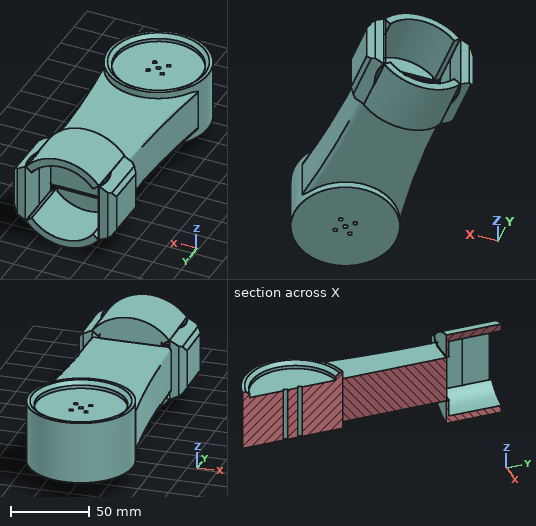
import math

import cadquery as cq

overall_length = 180.9

hub_diameter = 70.0
hub_height = 42.0
dish_rim_diameter = 65.3
dish_diameter = 60.0
dish_depth = 4.9
center_hole_diameter = 2.9
screw_hole_diameter = 2.5
screw_spacing = 10.0

cap_diameter = 66.7
cap_thickness = 5.5
cap_front = 105.8
sleeve_rear = 144.2
pad_front = 106.4
pad_width = 72.7
pad_face_height = 26.2
pad_chamfer = 4.3
pad_shoulder_x = 34.0
pad_shoulder_z = 16.6

cap_wall_thickness = 2.2
cap_wall_width = 41.2

arm_height = 32.4
arm_edge_radius = 2.5
arm_end_half_width = 27.0
arm_middle_y = 52.5
arm_middle_half_width = 29.0
arm_hub_y = 10.7

insert_radius = 27.7
insert_center_y = 135.3
left_insert_x = 25.9

hub_radius = hub_diameter / 2
half_height = hub_height / 2
cap_radius = cap_diameter / 2
cap_inner_radius = cap_radius - cap_thickness
cap_edge_angle = math.asin(half_height / cap_radius)
cap_edge_x = cap_radius * math.cos(cap_edge_angle)
arm_top = arm_height / 2
arm_hub_half_width = math.sqrt(hub_radius**2 - arm_hub_y**2)
insert_tip_y = overall_length - hub_radius
right_insert_x = math.sqrt(insert_radius**2 - (insert_tip_y - insert_center_y) ** 2)


def level_plane(height):
    """Horizontal workplane at the given height."""
    return cq.Workplane("XY").workplane(offset=height)


def make_hub():
    """Hub with a bevelled dish in its top and five through holes."""
    bevel = (dish_rim_diameter - dish_diameter) / 2
    hub = level_plane(-half_height).circle(hub_radius).extrude(hub_height)
    hub = hub.faces(">Z").workplane().hole(dish_diameter, dish_depth)
    hub = hub.faces(">Z").edges(cq.selectors.RadiusNthSelector(0)).chamfer(bevel)
    center_hole = level_plane(-half_height).circle(center_hole_diameter / 2).extrude(hub_height)
    screw_holes = (
        level_plane(-half_height)
        .rect(screw_spacing, screw_spacing, forConstruction=True)
        .vertices()
        .circle(screw_hole_diameter / 2)
        .extrude(hub_height)
    )
    return hub.cut(center_hole).cut(screw_holes)


def make_arm():
    """Arm that flares along an arc from the sleeve to the hub, cut to fit around the hub."""
    arm = (
        level_plane(-arm_top)
        .moveTo(-arm_end_half_width, pad_front)
        .lineTo(arm_end_half_width, pad_front)
        .threePointArc((arm_middle_half_width, arm_middle_y), (arm_hub_half_width, arm_hub_y))
        .lineTo(-arm_hub_half_width, arm_hub_y)
        .threePointArc((-arm_middle_half_width, arm_middle_y), (-arm_end_half_width, pad_front))
        .close()
        .extrude(arm_height)
    )
    arm = arm.faces("|Z").edges("not |X").fillet(arm_edge_radius)
    hub_space = level_plane(-half_height).circle(hub_radius).extrude(hub_height)
    return arm.cut(hub_space)


def section(y):
    """Workplane across the sleeve at y, with local axes X and Z; negative extrusions run toward +Y."""
    return cq.Workplane(cq.Plane(origin=(0, y, 0), xDir=(1, 0, 0), normal=(0, -1, 0)))


def make_cap(side):
    """Curved shell with radial side faces and a front wall; side is 1 above, -1 below."""
    inner_x = cap_inner_radius * math.cos(cap_edge_angle)
    inner_z = cap_inner_radius * math.sin(cap_edge_angle)
    shell = (
        section(cap_front)
        .moveTo(-cap_edge_x, side * half_height)
        .threePointArc((0, side * cap_radius), (cap_edge_x, side * half_height))
        .lineTo(inner_x, side * inner_z)
        .threePointArc((0, side * cap_inner_radius), (-inner_x, side * inner_z))
        .close()
        .extrude(cap_front - sleeve_rear)
    )
    wall_x = cap_wall_width / 2
    wall_radius = (cap_radius + cap_inner_radius) / 2
    wall_top = math.sqrt(wall_radius**2 - wall_x**2)
    wall = (
        section(cap_front)
        .moveTo(-wall_x, side * arm_top)
        .lineTo(wall_x, side * arm_top)
        .lineTo(wall_x, side * wall_top)
        .threePointArc((0, side * wall_radius), (-wall_x, side * wall_top))
        .close()
        .extrude(-cap_wall_thickness)
    )
    return shell.union(wall)


def make_insert(side):
    """Upright slice of a cylinder beyond a flat face; side is 1 on the right, -1 on the left."""
    face_x = right_insert_x if side > 0 else left_insert_x
    half_chord = math.sqrt(insert_radius**2 - face_x**2)
    return (
        level_plane(-half_height)
        .moveTo(side * face_x, insert_center_y - half_chord)
        .threePointArc((side * insert_radius, insert_center_y), (side * face_x, insert_center_y + half_chord))
        .close()
        .extrude(hub_height)
    )


def make_pad(side):
    """Side pad with sloping shoulders and chamfered ends; side is 1 on the right, -1 on the left."""
    outer_x = side * pad_width / 2
    inner_x = side * cap_edge_x
    face_z = pad_face_height / 2
    shoulder_x = side * pad_shoulder_x
    profile = (
        section(pad_front)
        .moveTo(inner_x, half_height)
        .lineTo(shoulder_x, pad_shoulder_z)
        .lineTo(outer_x, face_z)
        .lineTo(outer_x, -face_z)
        .lineTo(shoulder_x, -pad_shoulder_z)
        .lineTo(inner_x, -half_height)
        .close()
        .extrude(pad_front - sleeve_rear)
    )
    chamfered_x = outer_x - side * pad_chamfer
    plan = (
        level_plane(-half_height)
        .moveTo(inner_x, pad_front)
        .lineTo(chamfered_x, pad_front)
        .lineTo(outer_x, pad_front + pad_chamfer)
        .lineTo(outer_x, sleeve_rear - pad_chamfer)
        .lineTo(chamfered_x, sleeve_rear)
        .lineTo(inner_x, sleeve_rear)
        .close()
        .extrude(hub_height)
    )
    return profile.intersect(plan)


hub = make_hub()
arm = make_arm()
caps = [make_cap(side) for side in (1, -1)]

inserts = []
pads = []
for side in (-1, 1):
    insert = make_insert(side)
    for cap in caps:
        insert = insert.cut(cap)
    inserts.append(insert)
    pads.append(make_pad(side).cut(insert))

bodies = [hub, arm, *caps, *pads, *inserts]
result = cq.Compound.makeCompound([body.val() for body in bodies])